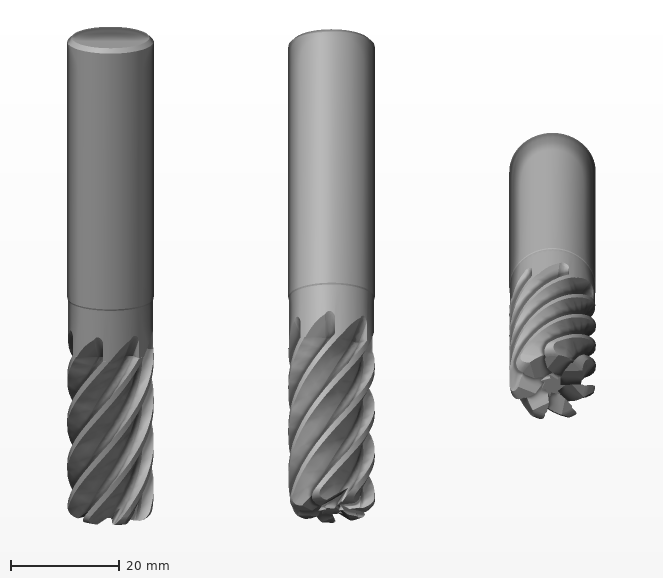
import cadquery as cq
import math

TOOL_DIAMETER = 16.0
TOOL_RADIUS = TOOL_DIAMETER / 2
TOOL_LENGTH = 92.0
CUTTING_LENGTH = 32.0
NECK_LENGTH = 10.0
NECK_TOP = CUTTING_LENGTH + NECK_LENGTH
NECK_STEP = 0.1
NECK_RADIUS = TOOL_RADIUS - NECK_STEP
NECK_CONE_HEIGHT = 0.3
SHANK_CHAMFER = 0.8
CORNER_RADIUS = 2.0

FLUTE_COUNT = 7
FLUTE_PITCH_ANGLE = 360.0 / FLUTE_COUNT
HELIX_LEAD = 60.0
TWIST_PER_MM = 360.0 / HELIX_LEAD
EDGE_ANGLE_AT_NECK = 270.0
LAND_ANGLE = 9.0
RAKE_ANGLE = 8.0
RAKE_DEPTH = 2.1
GULLET_RADIUS = 5.35
GULLET_ANGLE = -7.0
BACK_END_RADIUS = 5.7
BACK_END_ANGLE = -15.0
OVERRUN = 1.0

RUNOUT_LENGTH = 4.5

GASH_HEIGHT = 3.0
GASH_WIDTH = 2.8
GASH_LEAN = 1.5
GASH_INNER_RADIUS = 1.5


def polar(radius, angle):
    turn = math.radians(angle)
    return cq.Vector(radius * math.cos(turn), radius * math.sin(turn), 0)


def flute_profile():
    """Closed section of one flute; its cutting edge lies on the +X axis."""
    edge = polar(TOOL_RADIUS, 0)
    rake_direction = polar(1, -RAKE_ANGLE)
    rake_root = edge - rake_direction * RAKE_DEPTH
    rake_outer = edge + rake_direction * OVERRUN
    gullet = polar(GULLET_RADIUS, GULLET_ANGLE)
    back_end = polar(BACK_END_RADIUS, BACK_END_ANGLE)
    land_end = polar(TOOL_RADIUS, LAND_ANGLE - FLUTE_PITCH_ANGLE)
    back_outer = land_end + (land_end - back_end).normalized() * OVERRUN
    outer_middle = polar(TOOL_RADIUS + 2 * OVERRUN, BACK_END_ANGLE)
    return (
        cq.Workplane("XY")
        .moveTo(rake_outer.x, rake_outer.y)
        .lineTo(rake_root.x, rake_root.y)
        .threePointArc(gullet.toTuple()[:2], back_end.toTuple()[:2])
        .lineTo(back_outer.x, back_outer.y)
        .threePointArc(outer_middle.toTuple()[:2], rake_outer.toTuple()[:2])
        .close()
    )


def around_axis(cut_tool, first_angle):
    """Copies of a cutting shape, one per flute."""
    axis_end = cq.Vector(0, 0, 1)
    return [
        cut_tool.rotate(cq.Vector(), axis_end, first_angle + index * FLUTE_PITCH_ANGLE)
        for index in range(FLUTE_COUNT)
    ]


def make_cutter():
    body = (
        cq.Workplane("XY")
        .circle(TOOL_RADIUS)
        .extrude(CUTTING_LENGTH)
        .faces("<Z")
        .edges()
        .fillet(CORNER_RADIUS)
        .val()
    )
    flute_length = CUTTING_LENGTH + 2 * OVERRUN
    flute = (
        flute_profile()
        .twistExtrude(flute_length, flute_length * TWIST_PER_MM)
        .translate((0, 0, -OVERRUN))
        .val()
    )
    start_angle = EDGE_ANGLE_AT_NECK - (CUTTING_LENGTH + OVERRUN) * TWIST_PER_MM
    body = body.cut(*around_axis(flute, start_angle))

    gash = (
        cq.Workplane("YZ", origin=(GASH_INNER_RADIUS, 0, 0))
        .polyline([(0, 0), (GASH_LEAN, GASH_HEIGHT), (-GASH_WIDTH, 0)])
        .close()
        .extrude(TOOL_RADIUS)
        .val()
    )
    end_angle = EDGE_ANGLE_AT_NECK - CUTTING_LENGTH * TWIST_PER_MM
    body = body.cut(*around_axis(gash, end_angle))
    return cq.Workplane(body).solids()


def make_shank():
    cone_bottom = NECK_TOP - NECK_CONE_HEIGHT
    body = (
        cq.Workplane("XZ")
        .moveTo(0, CUTTING_LENGTH)
        .lineTo(NECK_RADIUS, CUTTING_LENGTH)
        .lineTo(NECK_RADIUS, cone_bottom)
        .lineTo(TOOL_RADIUS, NECK_TOP)
        .lineTo(TOOL_RADIUS, TOOL_LENGTH - SHANK_CHAMFER)
        .lineTo(TOOL_RADIUS - SHANK_CHAMFER, TOOL_LENGTH)
        .lineTo(0, TOOL_LENGTH)
        .close()
        .revolve(360, (0, 0, 0), (0, 1, 0))
        .val()
    )
    runout_depth = NECK_RADIUS - GULLET_RADIUS
    slope = polar(runout_depth, -RAKE_ANGLE) + cq.Vector(0, 0, RUNOUT_LENGTH)
    runout = cq.Solid.extrudeLinear(flute_profile().wires().val(), [], slope)
    runout = runout.translate(cq.Vector(0, 0, CUTTING_LENGTH))
    body = body.cut(*around_axis(runout, EDGE_ANGLE_AT_NECK))
    return cq.Workplane(body).solids()


cutter = make_cutter()
shank = make_shank()

result = cq.Compound.makeCompound([cutter.val(), shank.val()])